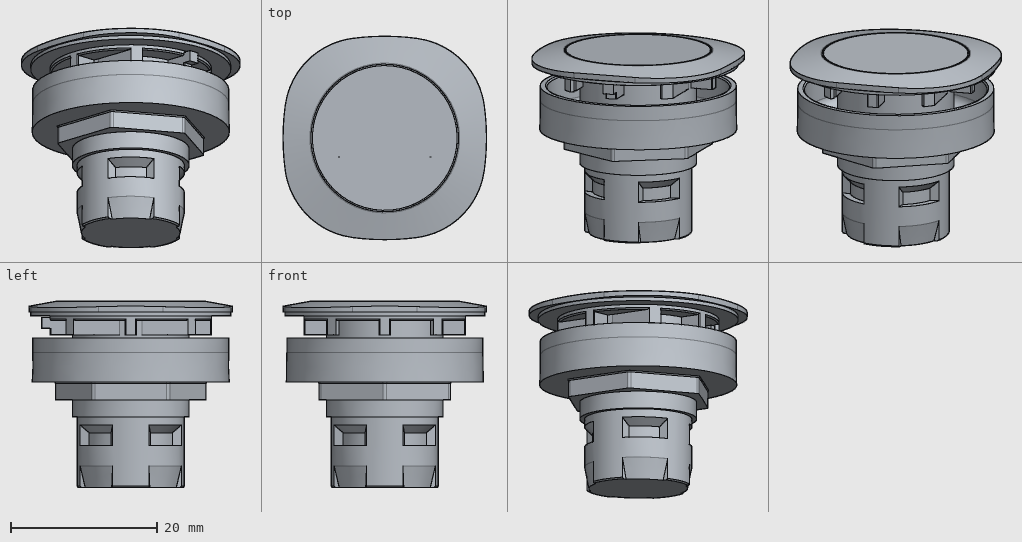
import cadquery as cq
import math

CAP_HALF_WIDTH = 13.93
CAP_SIDE_RADIUS = 33.0
CAP_CORNER_RADIUS = 10.75
CAP_BOTTOM_Z = 24.0
CAP_TOP_Z = 25.5
CAP_FLAT_RADIUS = 10.25
CAP_SLOPE = 0.182
CAP_CUT_RADIUS = 20.0
LENS_RADIUS = 9.9
LENS_GROOVE_WIDTH = 0.2
LENS_GROOVE_DEPTH = 0.3

PLATE_DIAMETER = 27.4
PLATE_BOTTOM_Z = 23.5
SKIRT_DIAMETER = 22.15
SKIRT_EDGE_Z = 23.05
SKIRT_CHAMFER = 0.2

LEG_BOTTOM_Z = 20.9
LEG_WIDTH = 1.54
LEG_CHAMFER = 0.15
DIAGONAL_LEG_ANGLE = 49.0
DIAGONAL_LEG_WIDTH = 1.6
DIAGONAL_LEG_INNER_RADIUS = 10.5
BLOCK_INNER_X = 6.24
BLOCK_OUTER_X = 7.85
BLOCK_INNER_Y = 1.52
BLOCK_OUTER_Y = 7.8
KEY_REACH = 12.18
KEY_BOTTOM_Z = 21.8
KEY_TOP_Z = 23.28

STEM_DIAMETER = 16.0

CUP_TOP_Z = 20.5
CUP_SEAM_Z = 18.5
CUP_BOTTOM_Z = 14.45
CUP_TOP_DIAMETER = 26.86
CUP_BOTTOM_DIAMETER = 27.0
CUP_BORE_DIAMETER = 25.0
CUP_FLOOR_Z = 15.4
CUP_FLOOR_FILLET = (CUP_BORE_DIAMETER - SKIRT_DIAMETER) / 2
CUP_RIM_CHAMFER = 0.2

HEX_ACROSS_FLATS = 18.0
HEX_CORNER_FILLET = 0.5
HEX_BOTTOM_Z = 12.0
HEX_TURN = 30.0
HEX_FLARE_HEIGHT = 0.2
HEX_FLARE_WIDTH = 0.1

SHOULDER_BOTTOM_Z = 9.67
BODY_DIAMETER = 14.7
BODY_CHAMFER = 0.2

POCKET_OUTER_WIDTH = 6.26
POCKET_INNER_WIDTH = 4.2
POCKET_FLOOR_RADIUS = 6.29
POCKET_BOTTOM_Z = 5.75
POCKET_FLOOR_TOP_Z = 7.5
POCKET_TOP_Z = 8.57
NOTCH_TOP_Z = 2.95
NOTCH_FLOOR_RADIUS = 6.75
CUT_MARGIN = 1.0


def cylinder(diameter, bottom, top):
    return cq.Workplane("XY").workplane(offset=bottom).circle(diameter / 2).extrude(top - bottom)


def revolved(points):
    """Turn a (radius, z) outline a full turn about the Z axis."""
    return cq.Workplane("XZ").polyline(points).close().revolve(360, (0, 0, 0), (0, 1, 0))


def cap_outline():
    """Four large side arcs joined tangentially to four corner arcs."""
    side_offset = CAP_SIDE_RADIUS - CAP_HALF_WIDTH
    gap = CAP_SIDE_RADIUS - CAP_CORNER_RADIUS
    centre = (math.sqrt(2 * gap**2 - side_offset**2) - side_offset) / 2
    near = CAP_SIDE_RADIUS * centre / gap
    far = math.sqrt(CAP_SIDE_RADIUS**2 - near**2) - side_offset
    diagonal = centre + CAP_CORNER_RADIUS / math.sqrt(2)
    half = CAP_HALF_WIDTH
    return (
        cq.Workplane("XY").workplane(offset=CAP_BOTTOM_Z)
        .moveTo(-near, far)
        .threePointArc((0, half), (near, far))
        .threePointArc((diagonal, diagonal), (far, near))
        .threePointArc((half, 0), (far, -near))
        .threePointArc((diagonal, -diagonal), (near, -far))
        .threePointArc((0, -half), (-near, -far))
        .threePointArc((-diagonal, -diagonal), (-far, -near))
        .threePointArc((-half, 0), (-far, near))
        .threePointArc((-diagonal, diagonal), (-near, far))
        .close()
    )


def make_cap():
    cap = cap_outline().extrude(CAP_TOP_Z - CAP_BOTTOM_Z)
    slope_end_z = CAP_TOP_Z - CAP_SLOPE * (CAP_CUT_RADIUS - CAP_FLAT_RADIUS)
    above_slope = revolved([
        (CAP_FLAT_RADIUS, CAP_TOP_Z),
        (CAP_CUT_RADIUS, slope_end_z),
        (CAP_CUT_RADIUS, CAP_TOP_Z),
    ])
    groove_bottom_z = CAP_TOP_Z - LENS_GROOVE_DEPTH
    groove = cylinder(2 * (LENS_RADIUS + LENS_GROOVE_WIDTH), groove_bottom_z, CAP_TOP_Z).cut(
        cylinder(2 * LENS_RADIUS, groove_bottom_z, CAP_TOP_Z))
    return cap.cut(above_slope).cut(groove)


def make_plate_and_skirt():
    skirt_radius = SKIRT_DIAMETER / 2
    plate = cylinder(PLATE_DIAMETER, PLATE_BOTTOM_Z, CAP_BOTTOM_Z)
    skirt = revolved([
        (0, PLATE_BOTTOM_Z),
        (skirt_radius, PLATE_BOTTOM_Z),
        (skirt_radius, SKIRT_EDGE_Z),
        (skirt_radius - SKIRT_CHAMFER, SKIRT_EDGE_Z - SKIRT_CHAMFER),
        (0, SKIRT_EDGE_Z - SKIRT_CHAMFER),
    ])
    return plate.union(skirt)


def make_straight_leg(angle):
    """Radial leg from the axis to the skirt edge; the angle is measured from +X."""
    half = LEG_WIDTH / 2
    reach = SKIRT_DIAMETER / 2
    leg = (
        cq.Workplane("XY").workplane(offset=LEG_BOTTOM_Z)
        .polyline([
            (0, -half),
            (reach - LEG_CHAMFER, -half),
            (reach, -half + LEG_CHAMFER),
            (reach, half - LEG_CHAMFER),
            (reach - LEG_CHAMFER, half),
            (0, half),
        ])
        .close()
        .extrude(PLATE_BOTTOM_Z - LEG_BOTTOM_Z)
    )
    return leg.rotate((0, 0, 0), (0, 0, 1), angle)


def make_diagonal_leg(angle):
    """Short leg at the edge of the skirt; the angle is measured from +X."""
    reach = SKIRT_DIAMETER / 2
    leg = cq.Workplane("XY").box(
        reach - DIAGONAL_LEG_INNER_RADIUS,
        DIAGONAL_LEG_WIDTH,
        PLATE_BOTTOM_Z - LEG_BOTTOM_Z,
    ).translate((
        (reach + DIAGONAL_LEG_INNER_RADIUS) / 2,
        0,
        (PLATE_BOTTOM_Z + LEG_BOTTOM_Z) / 2,
    ))
    return leg.rotate((0, 0, 0), (0, 0, 1), angle)


def make_legs():
    legs = cq.Workplane("XY")
    for angle in (0, 90, 180, 270):
        legs = legs.add(make_straight_leg(angle))
    for side in (0, 180):
        for turn in (-DIAGONAL_LEG_ANGLE, DIAGONAL_LEG_ANGLE):
            legs = legs.add(make_diagonal_leg(side + turn))
    return legs.combine().intersect(cylinder(SKIRT_DIAMETER, LEG_BOTTOM_Z, PLATE_BOTTOM_Z))


def make_guide_blocks():
    block = cq.Workplane("XY").box(
        BLOCK_OUTER_X - BLOCK_INNER_X,
        BLOCK_OUTER_Y - BLOCK_INNER_Y,
        PLATE_BOTTOM_Z - LEG_BOTTOM_Z,
    ).translate((
        (BLOCK_OUTER_X + BLOCK_INNER_X) / 2,
        (BLOCK_OUTER_Y + BLOCK_INNER_Y) / 2,
        (PLATE_BOTTOM_Z + LEG_BOTTOM_Z) / 2,
    ))
    pair = block.union(block.mirror("XZ"))
    blocks = pair.union(pair.mirror("YZ"))
    return blocks.intersect(cylinder(SKIRT_DIAMETER, LEG_BOTTOM_Z, PLATE_BOTTOM_Z))


def make_key():
    """Locating key that extends the +Y leg outwards."""
    return (
        cq.Workplane("XY").workplane(offset=KEY_BOTTOM_Z)
        .center(0, KEY_REACH / 2)
        .rect(LEG_WIDTH, KEY_REACH)
        .extrude(KEY_TOP_Z - KEY_BOTTOM_Z)
    )


def make_cup():
    top_radius = CUP_TOP_DIAMETER / 2
    outside = revolved([
        (0, CUP_TOP_Z),
        (top_radius, CUP_TOP_Z),
        (top_radius, CUP_SEAM_Z),
        (CUP_BOTTOM_DIAMETER / 2, CUP_BOTTOM_Z),
        (0, CUP_BOTTOM_Z),
    ])
    bore = cylinder(CUP_BORE_DIAMETER, CUP_FLOOR_Z, CUP_TOP_Z).faces("<Z").edges().fillet(CUP_FLOOR_FILLET)
    rim_radius = CUP_BORE_DIAMETER / 2 + CUP_RIM_CHAMFER
    rim = revolved([
        (0, CUP_TOP_Z),
        (rim_radius, CUP_TOP_Z),
        (rim_radius - CUP_RIM_CHAMFER, CUP_TOP_Z - CUP_RIM_CHAMFER),
        (0, CUP_TOP_Z - CUP_RIM_CHAMFER),
    ])
    return outside.cut(bore).cut(rim)


def make_hexagon():
    """Hexagonal prism that flares slightly where it meets the cup."""
    flare_z = CUP_BOTTOM_Z - HEX_FLARE_HEIGHT
    across_corners = HEX_ACROSS_FLATS / math.cos(math.pi / 6)
    flare_angle = math.degrees(math.atan(HEX_FLARE_WIDTH / HEX_FLARE_HEIGHT))
    prism = (
        cq.Workplane("XY").workplane(offset=HEX_BOTTOM_Z)
        .polygon(6, across_corners)
        .extrude(flare_z - HEX_BOTTOM_Z)
        .edges("|Z").fillet(HEX_CORNER_FILLET)
    )
    flared = (
        prism.faces(">Z").wires().toPending()
        .workplane()
        .extrude(HEX_FLARE_HEIGHT, taper=-flare_angle)
    )
    return flared.rotate((0, 0, 0), (0, 0, 1), HEX_TURN)


def pocket_wedge():
    """Tapered prism on the +X axis that bounds the side walls of a pocket and its notch."""
    outer_half = POCKET_OUTER_WIDTH / 2
    inner_half = POCKET_INNER_WIDTH / 2
    outer_x = math.sqrt((BODY_DIAMETER / 2) ** 2 - outer_half**2)
    inner_x = math.sqrt(POCKET_FLOOR_RADIUS**2 - inner_half**2)
    flare = (outer_half - inner_half) / (outer_x - inner_x)
    far_x = BODY_DIAMETER / 2 + CUT_MARGIN
    far_half = outer_half + flare * (far_x - outer_x)
    apex_x = inner_x - inner_half / flare
    return (
        cq.Workplane("XY")
        .polyline([(apex_x, 0), (far_x, -far_half), (far_x, far_half)])
        .close()
        .extrude(SHOULDER_BOTTOM_Z)
    )


def make_pocket_cutter():
    """Latch pocket with a conical roof, and the lead-in notch with a conical floor below it."""
    body_radius = BODY_DIAMETER / 2
    far_radius = body_radius + CUT_MARGIN
    roof_slope = (POCKET_TOP_Z - POCKET_FLOOR_TOP_Z) / (body_radius - POCKET_FLOOR_RADIUS)
    pocket = revolved([
        (POCKET_FLOOR_RADIUS, POCKET_BOTTOM_Z),
        (far_radius, POCKET_BOTTOM_Z),
        (far_radius, POCKET_TOP_Z + roof_slope * CUT_MARGIN),
        (POCKET_FLOOR_RADIUS, POCKET_FLOOR_TOP_Z),
    ])
    notch = revolved([
        (NOTCH_FLOOR_RADIUS, 0),
        (far_radius, 0),
        (far_radius, NOTCH_TOP_Z),
        (body_radius, NOTCH_TOP_Z),
    ])
    return pocket.union(notch).intersect(pocket_wedge())


def make_body():
    shoulder = cylinder(STEM_DIAMETER, SHOULDER_BOTTOM_Z, HEX_BOTTOM_Z)
    body = cylinder(BODY_DIAMETER, 0, SHOULDER_BOTTOM_Z).faces("<Z").edges().chamfer(BODY_CHAMFER)
    cutter = make_pocket_cutter()
    for angle in (45, 135, 225, 315):
        body = body.cut(cutter.rotate((0, 0, 0), (0, 0, 1), angle))
    return shoulder.union(body)


stem = cylinder(STEM_DIAMETER, CUP_FLOOR_Z, PLATE_BOTTOM_Z)

result = (
    make_body()
    .union(make_hexagon())
    .union(make_cup())
    .union(stem)
    .union(make_guide_blocks())
    .union(make_legs())
    .union(make_key())
    .union(make_plate_and_skirt())
    .union(make_cap())
)